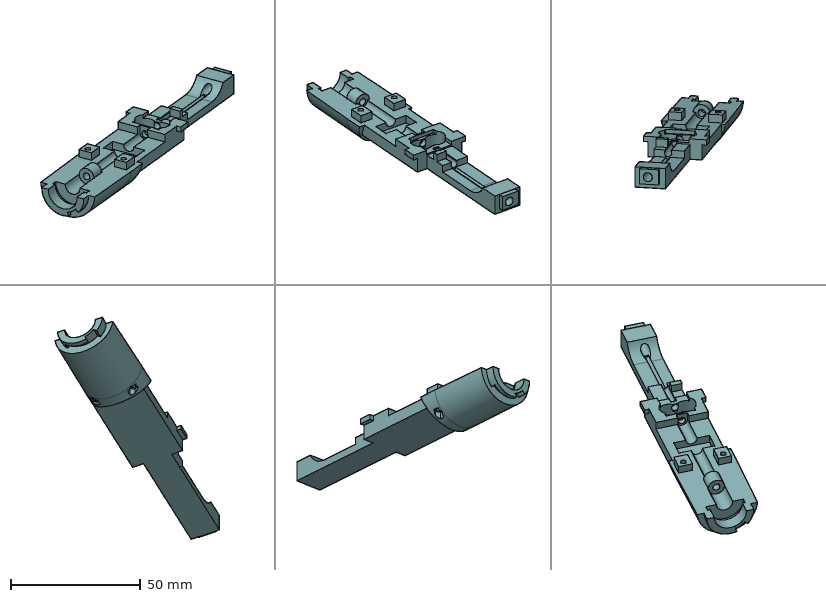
import cadquery as cq
import math

total_length = 119.2
deck_z = 0.0
raised_z = 3.2
step_z = 1.1
body_bottom_z = -5.0
bore_z = -0.1
body_x = -0.5

nose_length = 3.7
barrel_half_width = 12.6
barrel_front_half_width = 12.3
barrel_depth = 11.5
barrel_taper_start_y = 30.1
barrel_end_y = 38.5
barrel_end_slope = 4.2

nose_radius = 9.5
lock_groove_radius = 7.9
lock_groove_width = 1.8
lock_groove_start = -137
lock_entry_start = -74
lock_end = -42

muzzle_radius = 6.5
ring_radius = 7.6
ring_y = 5.1
ring_end_y = 7.3
chamber_radius = 3.3
boss_y = 17.6
boss_end_y = 23.5
groove_radius = 2.3
groove_end_y = 60.8
bore_radius = 1.4
tail_bore_radius = 1.8

stock_width = 21.3
stock_y = 36.6
raised_y = 58.9
raised_end_y = 73.0
ear_y = 67.5
ear_span = 25.0
tail_width = 12.0
step_end_y = 83.2
tail_deck_z = -1.8
sweep_y = 101.2
sweep_end_y = 109.3
tail_end_y = 117.1
tab_width = 7.6
tab_top_z = 3.1
tab_bottom_z = -3.0

slot_width = 14.5
slot_y = 42.0
slot_end_y = 48.6
slot_depth = 3.3
channel_x = -0.1
channel_width = 11.9
channel_y = 61.5
channel_z = 1.7
pocket_y = 66.1
pocket_radius = 3.9
pocket_spacing = 6.9
pocket_bottom_z = -3.7
cusp_cut_width = 3.1
cusp_cut_length = 6.2

step_groove_radius = 1.2
step_groove_y = 71.0
tail_groove_radius = 0.77
tail_groove_end_y = 105.1

catch_x = 1.1
catch_y = 77.3
catch_end_y = 79.5
catch_top_z = 4.3

lug_y = 30.3
lug_end_y = 36.3
lug_spans = ((-11.2, -5.6), (5.0, 10.2))
screw_spacing = 16.2
screw_y = 32.5
screw_radius = 1.1
nut_width = 3.3
nut_top_z = -6.4


def block(x0, x1, y0, y1, z0, z1):
    return cq.Workplane("XY").box(x1 - x0, y1 - y0, z1 - z0, centered=False).translate((x0, y0, z0))


def centred_block(x, width, y0, y1, z0, z1):
    return block(x - width / 2, x + width / 2, y0, y1, z0, z1)


def rod(radius, y0, y1, z=bore_z):
    return cq.Workplane("XZ", origin=(0, y0, z)).circle(radius).extrude(y0 - y1)


def below_deck(shape):
    return shape.intersect(centred_block(0, total_length, 0, total_length, -total_length, deck_z))


def barrel_section(y, half_width):
    """Circular segment hanging from the deck."""
    return (
        cq.Workplane("XZ", origin=(0, y, deck_z))
        .moveTo(-half_width, 0)
        .threePointArc((0, -barrel_depth), (half_width, 0))
        .close()
    )


def make_barrel():
    front = cq.Solid.makeLoft(
        [
            barrel_section(nose_length, barrel_front_half_width).val(),
            barrel_section(barrel_taper_start_y, barrel_half_width).val(),
        ]
    )
    rear = barrel_section(barrel_taper_start_y, barrel_half_width).extrude(barrel_taper_start_y - barrel_end_y)
    rear_waste = (
        cq.Workplane("YZ")
        .polyline(
            [
                (barrel_end_y, deck_z),
                (barrel_end_y - barrel_end_slope, -barrel_depth),
                (barrel_end_y, -barrel_depth),
            ]
        )
        .close()
        .extrude(barrel_half_width, both=True)
    )
    return cq.Workplane(front).union(rear.cut(rear_waste))


def lock_sector(y0, y1, start, end):
    """Part of the nose rim between two angles, outside the lock groove floor."""
    reach = 2 * nose_radius
    angles = [start, (start + end) / 2, end]
    rim = [(reach * math.cos(math.radians(a)), reach * math.sin(math.radians(a))) for a in angles]
    wedge = (
        cq.Workplane("XZ", origin=(0, y0, bore_z))
        .lineTo(*rim[0])
        .threePointArc(rim[1], rim[2])
        .close()
        .extrude(y0 - y1)
    )
    return wedge.cut(rod(lock_groove_radius, y0, y1))


def make_nose():
    nose = below_deck(rod(nose_radius, 0, nose_length))
    nose = nose.cut(lock_sector(lock_groove_width, nose_length, lock_groove_start, lock_end))
    return nose.cut(lock_sector(0, lock_groove_width, lock_entry_start, lock_end))


def make_tail():
    """Tail with an end tab and a concave sweep tangent to its low deck."""
    run = sweep_end_y - sweep_y
    rise = raised_z - tail_deck_z
    radius = (run**2 + rise**2) / (2 * rise)
    half_angle = math.asin(run / radius) / 2
    sweep_middle = (
        sweep_y + radius * math.sin(half_angle),
        tail_deck_z + radius * (1 - math.cos(half_angle)),
    )
    tail = (
        cq.Workplane("YZ", origin=(body_x, 0, 0))
        .moveTo(raised_end_y, body_bottom_z)
        .lineTo(raised_end_y, step_z)
        .lineTo(step_end_y, step_z)
        .lineTo(step_end_y, tail_deck_z)
        .lineTo(sweep_y, tail_deck_z)
        .threePointArc(sweep_middle, (sweep_end_y, raised_z))
        .lineTo(tail_end_y, raised_z)
        .lineTo(tail_end_y, body_bottom_z)
        .close()
        .extrude(tail_width / 2, both=True)
    )
    tab = centred_block(body_x, tab_width, tail_end_y, total_length, tab_bottom_z, tab_top_z)
    return tail.union(tab)


def make_stock():
    deck = centred_block(body_x, stock_width, stock_y, raised_y, body_bottom_z, deck_z)
    raised = centred_block(body_x, stock_width, raised_y, raised_end_y, body_bottom_z, raised_z)
    ears = centred_block(body_x, ear_span, ear_y, raised_end_y, step_z, raised_z)
    return deck.union(raised).union(ears).union(make_tail())


def cut_pockets(part):
    part = part.cut(centred_block(0, slot_width, slot_y, slot_end_y, deck_z - slot_depth, deck_z))
    part = part.cut(centred_block(channel_x, channel_width, channel_y, raised_end_y, channel_z, raised_z))
    for side in (-1, 1):
        centre = (side * pocket_spacing / 2, pocket_y, pocket_bottom_z)
        round_pocket = cq.Workplane("XY", origin=centre).circle(pocket_radius)
        part = part.cut(round_pocket.extrude(raised_z - pocket_bottom_z))
    cusp_cut = centred_block(
        0,
        cusp_cut_width,
        pocket_y - cusp_cut_length / 2,
        pocket_y + cusp_cut_length / 2,
        bore_z - bore_radius,
        raised_z,
    )
    return part.cut(cusp_cut)


def cut_open_groove(part, radius, y0, y1, z):
    """Round-bottomed groove open to the top."""
    part = part.cut(rod(radius, y0, y1, z))
    return part.cut(centred_block(0, 2 * radius, y0, y1, z, raised_z))


def cut_bore(part):
    part = part.cut(rod(muzzle_radius, 0, ring_y))
    part = part.cut(rod(ring_radius, ring_y, ring_end_y))
    part = part.cut(rod(chamber_radius, ring_end_y, boss_y))
    part = cut_open_groove(part, groove_radius, boss_end_y, groove_end_y, bore_z)
    part = cut_open_groove(part, step_groove_radius, step_groove_y, step_end_y, bore_z)
    part = part.cut(rod(tail_groove_radius, step_end_y, tail_groove_end_y, tail_deck_z))
    part = part.union(rod(chamber_radius, boss_y, boss_end_y))
    part = part.cut(rod(bore_radius, 0, total_length))
    return part.cut(rod(tail_bore_radius, sweep_y, total_length))


def add_lugs(part):
    for x0, x1 in lug_spans:
        part = part.union(block(x0, x1, lug_y, lug_end_y, deck_z, raised_z))
    for side in (-1, 1):
        screw = cq.Workplane("XY", origin=(body_x + side * screw_spacing / 2, screw_y, -barrel_depth))
        part = part.cut(screw.circle(screw_radius).extrude(barrel_depth + raised_z))
        nut = screw.transformed(rotate=(0, 0, 30)).polygon(6, nut_width / math.cos(math.pi / 6))
        part = part.cut(nut.extrude(nut_top_z + barrel_depth))
    return part


part = make_barrel().union(make_nose()).union(make_stock())
part = cut_pockets(part)
part = cut_bore(part)
part = add_lugs(part)
catch = block(catch_x, body_x + tail_width / 2, catch_y, catch_end_y, step_z, catch_top_z)
result = part.union(catch)